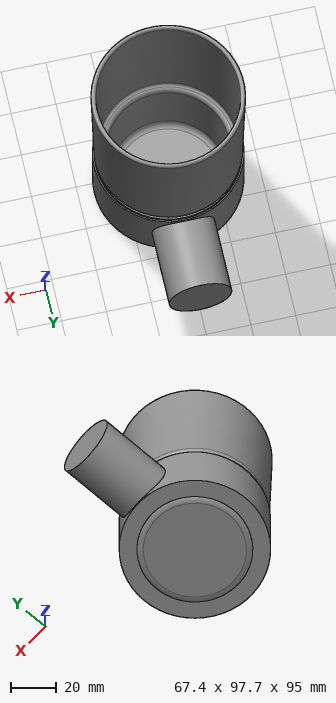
import cadquery as cq
import math

CUP_HEIGHT = 95.0
CUP_RADIUS = 33.7
CUP_WALL = 2.1
RIM_RADIUS = 1.1
FLOOR_RADIUS = 22.5
FLOOR_FILLET = 2.7
SHOULDER_Z = 32.25
SHOULDER_RADIUS = 29.1
SHOULDER_FILLET = 3.4

SLEEVE_RADIUS = 33.0
SLEEVE_BOTTOM = 0.9
SLEEVE_TOP = 30.9
RING_RADIUS = 32.3
HANDLE_RADIUS = 14.0
LONGEST_SIDE = 97.7
HANDLE_END = LONGEST_SIDE - CUP_RADIUS
HANDLE_Z = (SLEEVE_BOTTOM + SLEEVE_TOP) / 2

DIAGONAL = math.sqrt(0.5)


def revolve(profile):
    """Turn a radius-height profile around the Z axis."""
    return profile.close().revolve(360, (0, 0, 0), (0, 1, 0))


def quarter_arc(profile, center, radius):
    """Draw a quarter arc from the point below the center to the point outward of it."""
    r, z = center
    middle = (r + radius * DIAGONAL, z - radius * DIAGONAL)
    return profile.threePointArc(middle, (r + radius, z))


def make_cup_envelope():
    """Outside of the cup without its cavity, up to the rim's center height."""
    floor_fillet = FLOOR_FILLET + CUP_WALL
    profile = cq.Workplane("XZ").lineTo(FLOOR_RADIUS, 0)
    profile = quarter_arc(profile, (FLOOR_RADIUS, floor_fillet), floor_fillet)
    profile = profile.lineTo(SHOULDER_RADIUS, SHOULDER_Z)
    shoulder_center = (SHOULDER_RADIUS, SHOULDER_Z + SHOULDER_FILLET)
    profile = quarter_arc(profile, shoulder_center, SHOULDER_FILLET)
    rim_z = CUP_HEIGHT - RIM_RADIUS
    return revolve(profile.lineTo(CUP_RADIUS, rim_z).lineTo(0, rim_z))


def make_cup_cavity():
    """Space inside the cup, with a rounded step between neck and wide wall."""
    floor_z = CUP_WALL
    step_z = SHOULDER_Z + CUP_WALL
    step_fillet = SHOULDER_FILLET - CUP_WALL
    neck_radius = SHOULDER_RADIUS - CUP_WALL
    profile = cq.Workplane("XZ").moveTo(0, floor_z).lineTo(FLOOR_RADIUS, floor_z)
    profile = quarter_arc(profile, (FLOOR_RADIUS, floor_z + FLOOR_FILLET), FLOOR_FILLET)
    profile = profile.lineTo(neck_radius, SHOULDER_Z)
    profile = profile.threePointArc(
        (SHOULDER_RADIUS - CUP_WALL * DIAGONAL, SHOULDER_Z + CUP_WALL * DIAGONAL),
        (SHOULDER_RADIUS, step_z),
    )
    profile = quarter_arc(profile, (SHOULDER_RADIUS, step_z + step_fillet), step_fillet)
    rim_z = CUP_HEIGHT - RIM_RADIUS
    return revolve(profile.lineTo(CUP_RADIUS - 2 * RIM_RADIUS, rim_z).lineTo(0, rim_z))


def make_rim():
    """Half-round lip on the top of the wide wall."""
    rim_z = CUP_HEIGHT - RIM_RADIUS
    profile = (
        cq.Workplane("XZ")
        .moveTo(CUP_RADIUS, rim_z)
        .threePointArc((CUP_RADIUS - RIM_RADIUS, CUP_HEIGHT), (CUP_RADIUS - 2 * RIM_RADIUS, rim_z))
    )
    return revolve(profile)


def make_disc(radius, bottom, top):
    """Solid disc centered on the Z axis."""
    return cq.Workplane("XY").workplane(offset=bottom).circle(radius).extrude(top - bottom)


def make_cup():
    return make_cup_envelope().cut(make_cup_cavity()).union(make_rim())


def make_sleeve():
    """Sleeve with a seat that follows the cup's neck and foot."""
    return make_disc(SLEEVE_RADIUS, SLEEVE_BOTTOM, SLEEVE_TOP).cut(make_cup_envelope())


def make_spacer_ring():
    """Ring between the sleeve and the cup's shoulder."""
    return make_disc(RING_RADIUS, SLEEVE_TOP, SHOULDER_Z).cut(make_cup_envelope())


def make_handle():
    """Round handle along +Y, with its inner end shaped to the sleeve wall."""
    bar = cq.Workplane("XZ").center(0, HANDLE_Z).circle(HANDLE_RADIUS).extrude(-HANDLE_END)
    return bar.cut(make_disc(SLEEVE_RADIUS, SLEEVE_BOTTOM, SLEEVE_TOP))


cup = make_cup()
sleeve = make_sleeve()
spacer_ring = make_spacer_ring()
handle = make_handle()

result = cq.Compound.makeCompound(
    [*cup.solids().vals(), *sleeve.solids().vals(), *spacer_ring.solids().vals(), *handle.solids().vals()]
)